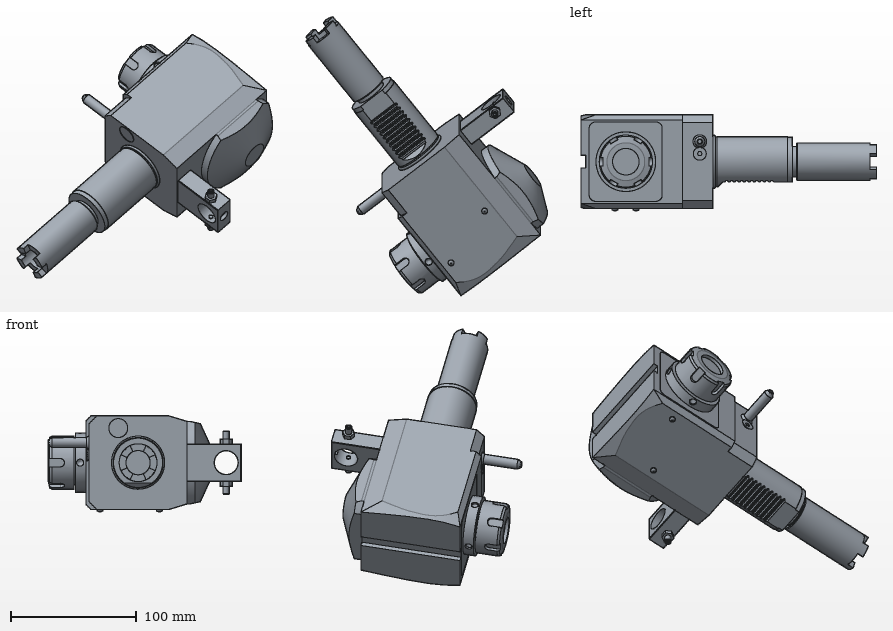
import cadquery as cq
import math


body_left = -41.6
body_right = 39.0
body_length = 105.0
body_half_height = 37.5
left_chamfer = 4.2
taper_start_x = 24.2
taper_drop = 4.5
step_depth = 2.5
step_length = 24.0
step_chamfer = 6.4
back_slope = 0.27
back_relief_length = 28.2
back_crown_x = -14.5
back_crown_drop = 1.0
back_edge_slopes = (0.25, 0, -0.09)
slot_width = 9.9
slot_depth = 3.8
panel_y_min = 40.2
panel_y_max = 98.3
panel_height = 63.0
panel_radius = 5.0
panel_recess = 0.2
plug_x = -15.8
plug_z = 27.5
plug_radius = 7.5
plug_recess = 0.5

ring_radius = 21.2
ring_length = 2.0
shank_radius = 20.0
undercut_radius = 19.8
undercut_end_y = -3.3
shank_end_radius = 19.5
shank_shoulder_y = -59.5
shank_end_y = -63.3
neck_radius = 12.2
spindle_radius = 15.0
spindle_start_y = -66.5
spindle_chamfer = 0.7
crown_start_y = -125.2
spindle_end_y = -130.3
spindle_bore_radius = 9.6
spindle_bore_depth = 14
crown_gap_count = 4
crown_gap_angle = 50
flat_z = -16.2
flat_start_y = -8.0
groove_first_y = -11.0
groove_pitch = 4.0
groove_count = 10
groove_top_width = 3.0
groove_floor_width = 1.0
groove_depth = 1.2

cross_axis_y = 69.2
collar_radius = 23.8
collar_end_x = -49.9
chuck_neck_radius = 17.6
nut_radius = 21.2
nut_back_x = -50.8
nut_shoulder_x = -68.5
nut_front_x = -71.5
nut_cone_x = -70.3
nut_cone_radius = 20.2
nut_face_radius = 15.0
nut_bore_radius = 10.5
nut_bore_depth = 2.8
nut_slot_count = 6
nut_slot_width = 6.5
nut_slot_end_x = -58.5
nut_slot_floor = 18.3
collar_hole_count = 4
collar_hole_x = -46.0
collar_hole_radius = 2.8
collar_hole_depth = 1.9
collar_hole_tip = 1.6

cover_radius = 40.5
cover_rim_x = 45.5
cover_face_x = 59.0
cover_face_radius = 10.5
cover_back_flat = 31.3
cover_flat_start_x = 41.2
cover_flat_z = body_half_height - taper_drop
cover_flat_slope = 0.22

pin_y = 10.4
pin_z = 16.0
pin_radius = 4.0
pin_tip_radius = 2.0
pin_tip_length = 3.0
pin_end_x = -71.5
plug_screw_z = 6.4
seat_radius = 5.5
seat_height = 2.0
screw_radius = 5.2
screw_neck_radius = 3.5
screw_height = 1.5
socket_width = 3.8
socket_depth = 1.9

arm_end_x = 82.0
arm_y_min = 1.5
arm_y_max = 16.2
arm_half_height = 15.0
arm_bore_x = 70.0
arm_bore_radius = 9.5
arm_chamfer = 0.5
end_hole_radius = 4.2
stud_y = 6.4
stud_radius = 2.5
stud_chamfer = 0.5
stud_hole_radius = 1.2
stud_hole_depth = 1.9
stud_end_z = 25.2
stud_nut_corners = 9.6
stud_nut_height = 3.8
stud_seat_radius = 1.6
stud_seat_depth = 0.7

set_screw_places = [(-30.3, 77.9), (17.0, 61.0)]
set_screw_radius = 2.4
set_screw_rim = 1.0
set_screw_tip = 1.9
set_screw_tip_radius = 0.5

overlap = 2.4


def turned_on_x(profile, y, z):
    """Revolve (x, radius) points about a line parallel to X through (y, z)."""
    solid = cq.Workplane("XY").polyline(profile).close().revolve(360, (0, 0, 0), (1, 0, 0))
    return solid.translate((0, y, z))


def turned_on_z(profile, x, y):
    """Revolve (radius, z) points about a line parallel to Z through (x, y)."""
    solid = cq.Workplane("XZ").polyline(profile).close().revolve(360, (0, 0, 0), (0, 1, 0))
    return solid.translate((x, y, 0))


def hex_socket_x(x_face, y, z):
    """Hexagonal cutter reaching into a face that looks along -X."""
    hexagon = cq.Workplane("YZ", origin=(x_face, y, z)).polygon(6, socket_width)
    return hexagon.extrude(socket_depth)


def block_outline(left, chamfer):
    h = body_half_height
    upper = [(left, h - chamfer), (left + chamfer, h), (taper_start_x, h), (body_right, h - taper_drop)]
    lower = [(x, -z) for x, z in reversed(upper)]
    return upper + lower


def block(left, chamfer, y_from, y_to):
    outline = cq.Workplane("XZ", origin=(0, y_from, 0)).polyline(block_outline(left, chamfer))
    return outline.close().extrude(y_from - y_to)


def back_relief():
    """Cutter whose crowned underside slopes up toward the front, easing the top back edge."""
    left_edge = (body_left, body_half_height - left_chamfer)
    right_edge = (body_right, body_half_height - taper_drop)
    crown = (back_crown_x, body_half_height - back_crown_drop)
    clear_z = body_half_height + overlap
    tangents = [(1, slope) for slope in back_edge_slopes]
    outline = (
        cq.Workplane("XZ", origin=(0, body_length, 0))
        .moveTo(*left_edge)
        .spline([crown, right_edge], tangents=tangents, includeCurrent=True)
        .lineTo(body_right + overlap, right_edge[1])
        .lineTo(body_right + overlap, clear_z)
        .lineTo(body_left - overlap, clear_z)
        .lineTo(body_left - overlap, left_edge[1])
        .close()
    )
    travel = cq.Vector(0, -back_relief_length, back_relief_length * back_slope)
    face = cq.Face.makeFromWires(outline.wires().val())
    return cq.Workplane(cq.Solid.extrudeLinear(face, travel))


def housing():
    body = block(body_left, left_chamfer, step_length, body_length)
    body = body.union(block(body_left + step_depth, step_chamfer, 0, step_length))
    relief = back_relief()
    body = body.cut(relief).cut(relief.mirror("XY"))

    slot = cq.Workplane("XY", origin=(0, body_length, 0))
    slot = slot.box(4 * body_right, 2 * slot_depth, slot_width)
    body = body.cut(slot)

    panel_center_y = (panel_y_min + panel_y_max) / 2
    panel = (
        cq.Workplane("YZ", origin=(body_left, panel_center_y, 0))
        .rect(panel_y_max - panel_y_min, panel_height)
        .extrude(panel_recess)
        .edges("|X")
        .fillet(panel_radius)
    )
    plug = cq.Workplane("XZ", origin=(plug_x, 0, plug_z)).circle(plug_radius).extrude(-plug_recess)
    return body.cut(panel).cut(plug)


def shank():
    below_ring = [
        (undercut_radius, -ring_length),
        (undercut_radius, undercut_end_y),
        (shank_radius, undercut_end_y),
        (shank_radius, shank_shoulder_y),
        (shank_end_radius, shank_shoulder_y),
        (shank_end_radius, shank_end_y),
        (neck_radius, shank_end_y),
        (neck_radius, spindle_start_y),
        (spindle_radius - spindle_chamfer, spindle_start_y),
        (spindle_radius, spindle_start_y - spindle_chamfer),
        (spindle_radius, spindle_end_y),
        (0, spindle_end_y),
    ]
    turned = (
        cq.Workplane("XY")
        .moveTo(0, overlap)
        .lineTo(shank_radius, overlap)
        .lineTo(shank_radius, 0)
        .threePointArc((ring_radius, -ring_length / 2), (shank_radius, -ring_length))
        .polyline(below_ring, includeCurrent=True)
        .close()
        .revolve(360, (0, 0, 0), (0, 1, 0))
    )
    return turned.cut(shank_serration()).cut(spindle_crown())


def shank_serration():
    """Clamping flat under the shank, with a sloped run-out and cross grooves."""
    clear_z = -ring_radius - overlap
    run_out_y = flat_start_y + (flat_z - clear_z)
    cutter = (
        cq.Workplane("YZ", origin=(-ring_radius, 0, 0))
        .polyline([
            (run_out_y, clear_z),
            (flat_start_y, flat_z),
            (shank_end_y, flat_z),
            (shank_end_y, clear_z),
        ])
        .close()
        .extrude(2 * ring_radius)
    )
    keep_ring = cq.Workplane("XY").box(4 * ring_radius, 2 * ring_length, 4 * ring_radius)
    cutter = cutter.cut(keep_ring)
    for index in range(groove_count):
        y = groove_first_y - index * groove_pitch
        groove = (
            cq.Workplane("YZ", origin=(-ring_radius, 0, 0))
            .polyline([
                (y - groove_top_width / 2, flat_z),
                (y - groove_floor_width / 2, flat_z + groove_depth),
                (y + groove_floor_width / 2, flat_z + groove_depth),
                (y + groove_top_width / 2, flat_z),
            ])
            .close()
            .extrude(2 * ring_radius)
        )
        cutter = cutter.union(groove)
    return cutter


def spindle_crown():
    """Bore in the spindle end and the radial gaps that leave four driving teeth."""
    end = cq.Workplane("XZ", origin=(0, spindle_end_y, 0))
    cutter = end.circle(spindle_bore_radius).extrude(-spindle_bore_depth)
    reach = 2 * spindle_radius
    half_width = reach * math.tan(math.radians(crown_gap_angle / 2))
    for index in range(crown_gap_count):
        gap = (
            end.polyline([(0, 0), (reach, half_width), (reach, -half_width)])
            .close()
            .extrude(spindle_end_y - crown_start_y)
            .rotate((0, 0, 0), (0, 1, 0), index * 360 / crown_gap_count)
        )
        cutter = cutter.union(gap)
    return cutter


def turn_about_cross_axis(shape, angle):
    """Turn a shape made about the X axis, then move it onto the cross axis."""
    return shape.rotate((0, 0, 0), (1, 0, 0), angle).translate((0, cross_axis_y, 0))


def nut_slot():
    """Round-ended wrench slot that is open toward the nut's front face."""
    round_x = nut_slot_end_x - nut_slot_width / 2
    open_x = nut_front_x - overlap
    half_width = nut_slot_width / 2
    return (
        cq.Workplane("XY", origin=(0, 0, nut_slot_floor))
        .moveTo(open_x, -half_width)
        .lineTo(round_x, -half_width)
        .threePointArc((nut_slot_end_x, 0), (round_x, half_width))
        .lineTo(open_x, half_width)
        .close()
        .extrude(nut_radius)
    )


def collar_hole():
    """Drilled wrench hole with a conical bottom."""
    floor_z = collar_radius - collar_hole_depth
    profile = [
        (0, collar_radius + overlap),
        (collar_hole_radius, collar_radius + overlap),
        (collar_hole_radius, floor_z),
        (0, floor_z - collar_hole_tip),
    ]
    return turned_on_z(profile, collar_hole_x, 0)


def chuck():
    profile = [
        (body_left + overlap, 0),
        (body_left + overlap, collar_radius),
        (collar_end_x, collar_radius),
        (collar_end_x, chuck_neck_radius),
        (nut_back_x, chuck_neck_radius),
        (nut_back_x, nut_radius),
        (nut_shoulder_x, nut_radius),
        (nut_cone_x, nut_cone_radius),
        (nut_front_x, nut_face_radius),
        (nut_front_x, nut_bore_radius),
        (nut_front_x + nut_bore_depth, nut_bore_radius),
        (nut_front_x + nut_bore_depth, 0),
    ]
    turned = turned_on_x(profile, cross_axis_y, 0)
    for index in range(nut_slot_count):
        angle = 90 + index * 360 / nut_slot_count
        turned = turned.cut(turn_about_cross_axis(nut_slot(), angle))
    for index in range(collar_hole_count):
        angle = index * 360 / collar_hole_count
        turned = turned.cut(turn_about_cross_axis(collar_hole(), angle))
    return turned


def cover():
    profile = [
        (body_right - overlap, 0),
        (body_right - overlap, cover_radius),
        (cover_rim_x, cover_radius),
        (cover_face_x, cover_face_radius),
        (cover_face_x, 0),
    ]
    turned = turned_on_x(profile, cross_axis_y, 0)
    end_z = cover_flat_z - cover_flat_slope * (cover_face_x - cover_flat_start_x)
    upper = [
        (body_right - overlap, cover_flat_z),
        (cover_flat_start_x, cover_flat_z),
        (cover_face_x, end_z),
    ]
    lower = [(x, -z) for x, z in reversed(upper)]
    y_max = cross_axis_y + cover_back_flat
    envelope = (
        cq.Workplane("XZ", origin=(0, y_max, 0))
        .polyline(upper + lower)
        .close()
        .extrude(cover_back_flat + cover_radius + overlap)
    )
    return turned.intersect(envelope)


def coolant_pin():
    face_x = body_left + step_depth
    profile = [
        (face_x + overlap, 0),
        (face_x + overlap, seat_radius),
        (face_x, seat_radius),
        (face_x - seat_height, pin_radius),
        (pin_end_x + pin_tip_length, pin_radius),
        (pin_end_x, pin_tip_radius),
        (pin_end_x, 0),
    ]
    return turned_on_x(profile, pin_y, pin_z).cut(hex_socket_x(pin_end_x, pin_y, pin_z))


def plug_screw():
    face_x = body_left + step_depth
    profile = [
        (face_x + overlap, 0),
        (face_x + overlap, screw_neck_radius),
        (face_x, screw_neck_radius),
        (face_x - screw_height, screw_radius),
        (face_x - screw_height, 0),
    ]
    socket = hex_socket_x(face_x - screw_height, pin_y, plug_screw_z)
    return turned_on_x(profile, pin_y, plug_screw_z).cut(socket)


def torque_arm():
    mid_y = (arm_y_min + arm_y_max) / 2
    start_x = body_right - overlap
    arm = (
        cq.Workplane("XY", origin=(start_x, arm_y_min, 0))
        .box(arm_end_x - start_x, arm_y_max - arm_y_min, 2 * arm_half_height, centered=(False, False, True))
        .edges("|X or (|Z and >X)")
        .chamfer(arm_chamfer)
    )
    bore = cq.Workplane("XZ", origin=(arm_bore_x, 0, 0)).circle(arm_bore_radius).extrude(-body_length)
    end_hole = cq.Workplane("YZ", origin=(arm_bore_x, mid_y, 0)).circle(end_hole_radius).extrude(body_length)
    arm = arm.cut(bore).cut(end_hole)

    base_z = arm_half_height - overlap
    place = (arm_bore_x, stud_y)
    stud = (
        cq.Workplane("XY", origin=(*place, base_z))
        .circle(stud_radius)
        .extrude(stud_end_z - base_z)
        .faces(">Z")
        .chamfer(stud_chamfer)
    )
    hole = cq.Workplane("XY", origin=(*place, stud_end_z)).circle(stud_hole_radius).extrude(-stud_hole_depth)
    nut = (
        cq.Workplane("XY", origin=(*place, base_z))
        .polygon(6, stud_nut_corners)
        .extrude(stud_nut_height + overlap)
    )
    seat = cq.Workplane("XY", origin=(*place, 0)).circle(stud_seat_radius)
    seat = seat.extrude(arm_bore_radius + stud_seat_depth)
    fitting = stud.cut(hole).union(nut)
    return arm.union(fitting).union(fitting.mirror("XY")).cut(seat).cut(seat.mirror("XY"))


def set_screws():
    bottom = -body_half_height
    profile = [
        (0, bottom + overlap),
        (set_screw_radius, bottom + overlap),
        (set_screw_radius, bottom - set_screw_rim),
        (set_screw_tip_radius, bottom - set_screw_tip),
        (0, bottom - set_screw_tip),
    ]
    first, second = [turned_on_z(profile, x, y) for x, y in set_screw_places]
    return first.union(second)


result = housing()
for part in (shank(), chuck(), cover(), coolant_pin(), plug_screw(), torque_arm(), set_screws()):
    result = result.union(part)